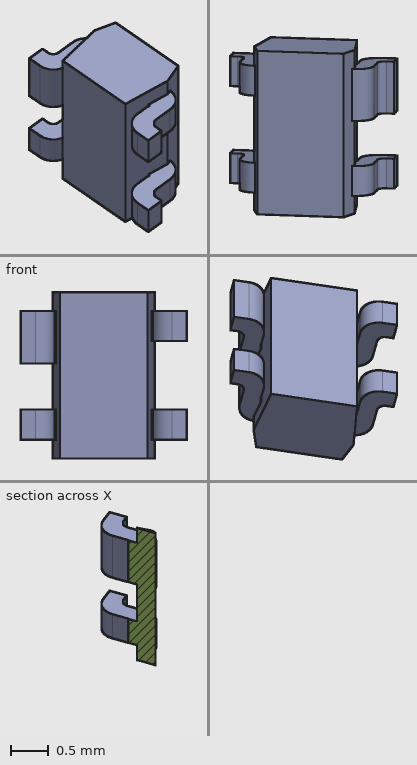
import cadquery as cq

body_height = 2.2
body_depth = 1.0
body_end_width = 1.157
body_mid_width = 1.35
parting_depth = 0.3

lead_span = 2.2
foot_front = -1.1
lead_thickness = 0.25
foot_length = 0.2
shoulder_back = -0.23
shoulder_front = -0.62
bend_radius = 0.25
foot_fillet = 0.1
lead_inner_end = 0.44

lead_margin = 0.246
lead_width = 0.403
wide_lead_width = 0.7


def make_body():
    end_half = body_end_width / 2
    mid_half = body_mid_width / 2
    outline = [
        (-end_half, 0),
        (end_half, 0),
        (mid_half, -parting_depth),
        (end_half, -body_depth),
        (-end_half, -body_depth),
        (-mid_half, -parting_depth),
    ]
    return cq.Workplane("XY").polyline(outline).close().extrude(body_height)


def make_left_lead(z_bottom, width):
    tip = -lead_span / 2
    outer_face = tip + foot_length
    inner_face = outer_face + lead_thickness
    foot_back = foot_front + lead_thickness
    profile = (
        cq.Workplane("XY", origin=(0, 0, z_bottom))
        .moveTo(tip, foot_front)
        .lineTo(inner_face - bend_radius, foot_front)
        .radiusArc((inner_face, foot_front + bend_radius), -bend_radius)
        .lineTo(inner_face, shoulder_front)
        .lineTo(-lead_inner_end, shoulder_front)
        .lineTo(-lead_inner_end, shoulder_back)
        .lineTo(outer_face + bend_radius, shoulder_back)
        .radiusArc((outer_face, shoulder_back - bend_radius), -bend_radius)
        .lineTo(outer_face, foot_back + foot_fillet)
        .radiusArc((outer_face - foot_fillet, foot_back), foot_fillet)
        .lineTo(tip, foot_back)
        .close()
    )
    return profile.extrude(width)


result = make_body()

top_edge = body_height - lead_margin
lower_lead = make_left_lead(lead_margin, lead_width)
upper_lead = make_left_lead(top_edge - lead_width, lead_width)
wide_lead = make_left_lead(top_edge - wide_lead_width, wide_lead_width)
for lead in (lower_lead, wide_lead, lower_lead.mirror("YZ"), upper_lead.mirror("YZ")):
    result = result.union(lead)